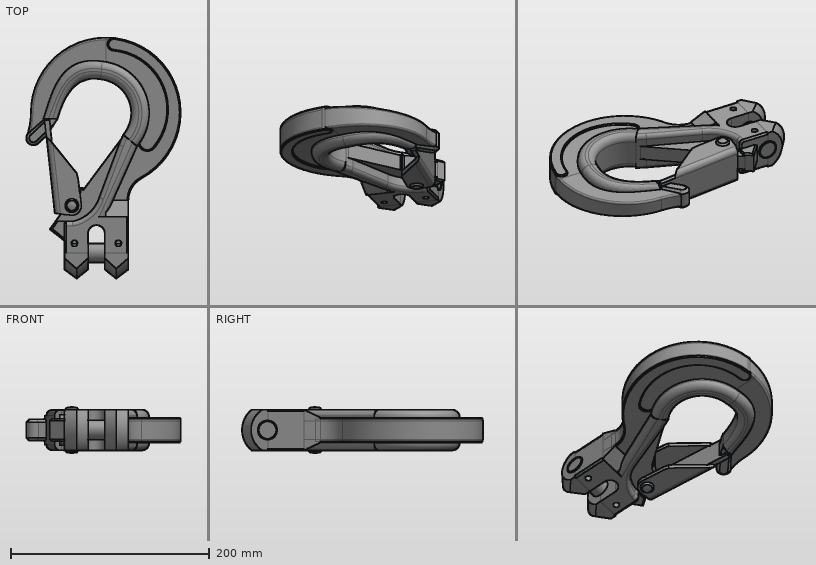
import cadquery as cq
import math


RIM_CENTER = (8.5, 0.5)
RIM_RADIUS = 75.7
PLATE_HALF = 11.2
PLATE_TIP_HALF = 8.0
TAPER_START_X = 8.5
TAPER_END_X = -73
RIM_ROUND = 2.0
PAD_HALF = 12.7
PAD_CHAMFER = 1.2
PAD_EDGE_CENTER = (11.0, 3.7)
PAD_EDGE_RADIUS = 59.5
PAD_START_ANGLE = 85
PAD_TOP_ANGLE = 82
RECESS_END_RADIUS = 7.8
RECESS_END_ANGLE = -40

BOWL_RADIUS = 34.0
BEAD_WIDTH = 18.3
BODY_HALF = 20.7
BEAD_ROUND = 7.5
BEAD_START_ANGLE = -40
BEAD_SEAM_ANGLE = 85

WEB_HALF = 7.8
SHANK_ROUND = 6.0
SHOULDER_ROUND = 4.5
SHANK_FOOT_X = 8.3
TAB_HALF = 11.2
TAB_CHAMFER = 1.7

NOSE_TOP_Y = -5.8
NOSE_HALF = 11.0
NOSE_TIP_CENTER = (-64.5, -25.3)
NOSE_TIP_RADIUS = 7.3
NOSE_ANGLE = 223.6
NOSE_FLANK_LENGTH = 10.7
NOSE_CHAMFER = 3.2

CLEVIS_X = -1.0
CLEVIS_WIDTH = 64.7
CLEVIS_LEFT = CLEVIS_X - CLEVIS_WIDTH / 2
CLEVIS_RIGHT = CLEVIS_X + CLEVIS_WIDTH / 2
SLOT_WIDTH = 16.8
SLOT_END_Y = -121.7
SLOT_CHAMFER = 0.8
EDGE_CHAMFER = 2.0
SHOULDER_Y = -109.5
RAMP_TOP_Y = -88.0
RAMP_BOTTOM_Y = -104.7
PRONG_BASE_Y = -141.2
PRONG_SIDE_FACE_Y = -146.5
PRONG_SIDE_END_Y = -158.0
PRONG_TIP_FACE_Y = -157.2
PRONG_TIP_END_Y = -167.2
PRONG_RIDGE_OFFSET = 20.0

LOAD_PIN_DIAMETER = 19.5
LOAD_PIN_Y = -141.5
LOAD_PIN_CHAMFER = 1.0
LOCK_HOLE_DIAMETER = 6.0
LOCK_HOLE_OFFSET = 22.1
LOCK_HOLE_Y = LOAD_PIN_Y + LOAD_PIN_DIAMETER / 2

LATCH_HALF = 20.5
LATCH_SHEET = 5.0
LATCH_BEND = 5.5
LATCH_TOP = (-53.3, -7.3)
LATCH_BOTTOM = (-43.0, -101.3)
TONGUE_HALF = 14.5
TONGUE_END_Y = -34.0
WALL_START_Y = -24.3
PIVOT = (-25.8, -93.5)
PIVOT_LUG_RADIUS = 9.7
RIVET_DIAMETER = 8.0
RIVET_HEAD_RADIUS = 6.8
RIVET_CROWN_RADIUS = 5.0
RIVET_SHOULDER_Z = 22.6
RIVET_HALF = 23.49

CUT_MARGIN = 2.5


def polar(center, radius, angle):
    """Point on a circle, with the angle in degrees from +X."""
    a = math.radians(angle)
    return (center[0] + radius * math.cos(a), center[1] + radius * math.sin(a))


SIDE_OFFSET = CLEVIS_RIGHT - RIM_CENTER[0]
SIDE_DROP = RAMP_TOP_Y - RIM_CENTER[1]
FLARE_RADIUS = (SIDE_OFFSET**2 + SIDE_DROP**2 - RIM_RADIUS**2) / (2 * (RIM_RADIUS - SIDE_OFFSET))
FLARE_CENTER = (CLEVIS_RIGHT + FLARE_RADIUS, RAMP_TOP_Y)
FLARE_ANGLE = math.degrees(math.atan2(SIDE_DROP, SIDE_OFFSET + FLARE_RADIUS))
FLARE_MIDDLE = polar(FLARE_CENTER, FLARE_RADIUS, 180 + FLARE_ANGLE / 2)


def slab(outline, half):
    """Extrude a closed outline symmetrically about the mid-plane."""
    return outline.extrude(half, both=True)


def edges_near(body, points):
    """Pick the edges whose centres lie nearest to the points, on both sides of the mid-plane."""
    picked = []
    for x, y, z in points:
        for side in (1, -1):
            target = cq.Vector(x, y, side * z)
            picked.append(min(body.edges().vals(), key=lambda e: (e.Center() - target).Length))
    return body.newObject(picked)


def hook_plate():
    """Flat body of the hook, thinning from the load side to the tip."""
    outline = (
        cq.Workplane()
        .moveTo(6.0, RAMP_BOTTOM_Y)
        .lineTo(CLEVIS_RIGHT, RAMP_BOTTOM_Y)
        .lineTo(CLEVIS_RIGHT, RAMP_TOP_Y)
        .threePointArc(FLARE_MIDDLE, polar(RIM_CENTER, RIM_RADIUS, FLARE_ANGLE))
        .threePointArc(polar(RIM_CENTER, RIM_RADIUS, 60), polar(RIM_CENTER, RIM_RADIUS, 180))
        .tangentArcPoint((-71.0, -23.1), relative=False)
        .lineTo(-59.6, -26.8)
        .lineTo(-46.2, NOSE_TOP_Y)
        .threePointArc((7.3, 43.8), (32.9, -34))
        .close()
    )
    right = CLEVIS_RIGHT + RIM_RADIUS
    taper = (
        cq.Workplane("XZ")
        .polyline([
            (right, PLATE_HALF), (TAPER_START_X, PLATE_HALF), (TAPER_END_X, PLATE_TIP_HALF),
            (TAPER_END_X, -PLATE_TIP_HALF), (TAPER_START_X, -PLATE_HALF), (right, -PLATE_HALF),
        ])
        .close()
        .extrude(2 * RIM_RADIUS, both=True)
    )
    plate = slab(outline, PLATE_HALF).intersect(taper)

    def on_outer_rim(edge):
        mid = edge.positionAt(0.5)
        on_circle = abs(math.dist((mid.x, mid.y), RIM_CENTER) - RIM_RADIUS) < 0.2
        on_tip_side = mid.x < -65.7 and mid.y > -19.5
        return (on_circle or on_tip_side) and abs(mid.z) > 2.5

    rim_edges = [edge for edge in plate.edges().vals() if on_outer_rim(edge)]
    return plate.newObject(rim_edges).fillet(RIM_ROUND)


def raised_pad():
    """Load side of the plate, raised around a shallow recess that follows the bead."""
    recess_end_center = polar(PAD_EDGE_CENTER, PAD_EDGE_RADIUS - RECESS_END_RADIUS, RECESS_END_ANGLE)
    recess_end_inner = polar(
        PAD_EDGE_CENTER, PAD_EDGE_RADIUS - 2 * RECESS_END_RADIUS, RECESS_END_ANGLE
    )
    outline = (
        cq.Workplane()
        .moveTo(*recess_end_inner)
        .threePointArc(
            polar(recess_end_center, RECESS_END_RADIUS, RECESS_END_ANGLE - 90),
            polar(PAD_EDGE_CENTER, PAD_EDGE_RADIUS, RECESS_END_ANGLE),
        )
        .threePointArc(
            polar(PAD_EDGE_CENTER, PAD_EDGE_RADIUS, 20),
            polar(PAD_EDGE_CENTER, PAD_EDGE_RADIUS, PAD_START_ANGLE),
        )
        .tangentArcPoint(polar(RIM_CENTER, RIM_RADIUS, PAD_TOP_ANGLE), relative=False)
        .threePointArc(
            polar(RIM_CENTER, RIM_RADIUS, 10), polar(RIM_CENTER, RIM_RADIUS, FLARE_ANGLE)
        )
        .threePointArc(FLARE_MIDDLE, (CLEVIS_RIGHT, RAMP_TOP_Y))
        .lineTo(CLEVIS_RIGHT, RAMP_TOP_Y - 4.9)
        .lineTo(12.2, RAMP_TOP_Y - 4.9)
        .lineTo(34, -34)
        .close()
    )
    return slab(outline, PAD_HALF).faces("|Z").edges().chamfer(PAD_CHAMFER)


def bead_section(inner, outer, half, corner):
    """Rounded rectangle standing on the line from the inner to the outer edge of the bead."""
    across = cq.Vector(outer[0] - inner[0], outer[1] - inner[1], 0)
    middle = ((inner[0] + outer[0]) / 2, (inner[1] + outer[1]) / 2, 0)
    plane = cq.Plane(origin=middle, xDir=across, normal=across.cross(cq.Vector(0, 0, 1)))
    wire = cq.Workplane(plane).rect(across.Length, 2 * half).val()
    return wire.fillet2D(corner, wire.Vertices())


def bead():
    """Thick rounded bead around the bowl, lower towards the nose."""
    to_axis = -BOWL_RADIUS - BEAD_WIDTH / 2
    profile = cq.Sketch().rect(BEAD_WIDTH, 2 * BODY_HALF).vertices().fillet(BEAD_ROUND)
    bowl = (
        cq.Workplane("XZ", origin=(-to_axis, 0, 0))
        .placeSketch(profile)
        .revolve(BEAD_SEAM_ANGLE - BEAD_START_ANGLE, (to_axis, 0), (to_axis, 1))
        .rotate((0, 0, 0), (0, 0, 1), BEAD_START_ANGLE)
    )
    seam_inner = polar((0, 0), BOWL_RADIUS, BEAD_SEAM_ANGLE)
    seam_outer = polar((0, 0), BOWL_RADIUS + BEAD_WIDTH, BEAD_SEAM_ANGLE)
    tail = cq.Solid.makeLoft([
        bead_section(seam_inner, seam_outer, BODY_HALF, BEAD_ROUND),
        bead_section((-25.0, 25.0), (-38.0, 35.0), 16.8, 6.8),
        bead_section((-34.5, 9.7), (-48.7, 12.2), 14.4, 5.5),
        bead_section((-40.2, NOSE_TOP_Y), (-54.5, NOSE_TOP_Y), 13.1, 4.9),
    ])
    return bowl.union(cq.Workplane(tail))


def nose():
    """Round-ended tip beyond the bead, with its outer flank and end bevelled."""
    right_start = polar(NOSE_TIP_CENTER, NOSE_TIP_RADIUS, NOSE_ANGLE + 90)
    left_start = polar(NOSE_TIP_CENTER, NOSE_TIP_RADIUS, NOSE_ANGLE - 90)
    left_length = (NOSE_TOP_Y - left_start[1]) / math.sin(math.radians(NOSE_ANGLE + 180))
    outline = (
        cq.Workplane()
        .moveTo(-40.2, NOSE_TOP_Y)
        .lineTo(-47.5, -17.0)
        .lineTo(*polar(right_start, NOSE_FLANK_LENGTH, NOSE_ANGLE + 180))
        .lineTo(*right_start)
        .threePointArc(polar(NOSE_TIP_CENTER, NOSE_TIP_RADIUS, NOSE_ANGLE), left_start)
        .lineTo(*polar(left_start, left_length, NOSE_ANGLE + 180))
        .close()
    )
    body = slab(outline, NOSE_HALF)
    return edges_near(body, [(*left_start, NOSE_HALF)]).chamfer(NOSE_CHAMFER)


def shank():
    """Straight bead from the bowl to the clevis, ending in the shoulder beside the latch."""
    body = slab(
        cq.Workplane()
        .moveTo(*polar((0, 0), BOWL_RADIUS, BEAD_START_ANGLE))
        .lineTo(22.0, -31.6)
        .lineTo(2.0, -85.2)
        .threePointArc((-8.3, -101.0), (-25.5, SHOULDER_Y))
        .lineTo(CLEVIS_LEFT, SHOULDER_Y)
        .lineTo(CLEVIS_LEFT, PRONG_BASE_Y)
        .lineTo(CLEVIS_RIGHT, PRONG_BASE_Y)
        .lineTo(CLEVIS_RIGHT, RAMP_BOTTOM_Y)
        .lineTo(SHANK_FOOT_X, RAMP_BOTTOM_Y)
        .lineTo(*polar((0, 0), BOWL_RADIUS + BEAD_WIDTH, BEAD_START_ANGLE))
        .close(),
        BODY_HALF,
    )
    body = edges_near(body, [(24.0, -69.1, BODY_HALF)]).fillet(SHANK_ROUND)
    wall = [(24.0, -26.8, BODY_HALF), (12.0, -58.5, BODY_HALF), (-9.5, -99.8, BODY_HALF), (-29.2, -109.5, BODY_HALF)]
    body = edges_near(body, wall).fillet(SHOULDER_ROUND)
    sides = [(CLEVIS_RIGHT, -123.0, BODY_HALF), (CLEVIS_LEFT, -125.3, BODY_HALF)]
    return edges_near(body, sides).chamfer(EDGE_CHAMFER)


def ramp():
    """Slope from the raised pad up to the clevis face, on both sides."""
    return (
        cq.Workplane("YZ", origin=(SHANK_FOOT_X, 0, 0))
        .polyline([
            (RAMP_TOP_Y, PAD_HALF), (RAMP_BOTTOM_Y, BODY_HALF),
            (RAMP_BOTTOM_Y, -BODY_HALF), (RAMP_TOP_Y, -PAD_HALF),
        ])
        .close()
        .extrude(CLEVIS_RIGHT - SHANK_FOOT_X)
    )


def prong_section(x, face_y, end_y):
    """Prong cross-section with an arched end."""
    return (
        cq.Workplane("YZ", origin=(x, 0, 0))
        .moveTo(PRONG_BASE_Y, -BODY_HALF)
        .lineTo(face_y, -BODY_HALF)
        .threePointArc((end_y, 0), (face_y, BODY_HALF))
        .lineTo(PRONG_BASE_Y, BODY_HALF)
        .close()
        .val()
    )


def prong(side):
    """Prong end with a ridge, sloping back to both side faces."""
    ridge_x = CLEVIS_X + side * PRONG_RIDGE_OFFSET
    ridge = prong_section(ridge_x, PRONG_TIP_FACE_Y, PRONG_TIP_END_Y)
    halves = []
    for flank_offset in (SLOT_WIDTH / 2, CLEVIS_WIDTH / 2):
        flank = prong_section(CLEVIS_X + side * flank_offset, PRONG_SIDE_FACE_Y, PRONG_SIDE_END_Y)
        halves.append(cq.Workplane(cq.Solid.makeLoft([ridge, flank], True)))
    return halves[0].union(halves[1])


def shackle_slot():
    """Round-ended opening between the prongs."""
    depth = PRONG_TIP_END_Y - CUT_MARGIN - SLOT_END_Y
    return (
        cq.Workplane(origin=(CLEVIS_X, SLOT_END_Y, 0))
        .moveTo(-SLOT_WIDTH / 2, 0)
        .threePointArc((0, SLOT_WIDTH / 2), (SLOT_WIDTH / 2, 0))
        .lineTo(SLOT_WIDTH / 2, depth)
        .lineTo(-SLOT_WIDTH / 2, depth)
        .close()
        .extrude(BODY_HALF + CUT_MARGIN, both=True)
    )


def web():
    """Thin plate between the shank and the latch."""
    return slab(
        cq.Workplane()
        .polyline([
            (25.5, -24.3), (-14.4, -78.0), (-14.5, -75.5), (-16.5, -75.5), (-17.0, -80.3), (-29.2, -85.2),
            (-37.2, -102.2), (-42.3, SHOULDER_Y), (-31.6, -114.5), (0, -107.0), (7.3, -85.2), (29.2, -31.6),
        ])
        .close(),
        WEB_HALF,
    )


def stop_tab():
    """Wedge-shaped tab beside the clevis, below the latch."""
    outline = (
        cq.Workplane()
        .polyline([
            (-42.3, SHOULDER_Y), (-48.0, -117.3), (CLEVIS_LEFT, -129.0),
            (-31.6, -129.0), (-31.6, SHOULDER_Y),
        ])
        .close()
    )
    tab = slab(outline, TAB_HALF)
    return edges_near(tab, [(-45.0, -113.5, TAB_HALF), (-40.6, -123.2, TAB_HALF)]).chamfer(TAB_CHAMFER)


def latch_back_x(y):
    """X of the outer latch back at height y."""
    along = (y - LATCH_TOP[1]) / (LATCH_BOTTOM[1] - LATCH_TOP[1])
    return LATCH_TOP[0] + along * (LATCH_BOTTOM[0] - LATCH_TOP[0])


def tongue():
    """Strip that continues the latch back into the hook nose."""
    outline = (
        cq.Workplane()
        .moveTo(*LATCH_TOP)
        .lineTo(LATCH_TOP[0] + LATCH_SHEET, LATCH_TOP[1])
        .lineTo(latch_back_x(TONGUE_END_Y) + LATCH_SHEET, TONGUE_END_Y)
        .lineTo(latch_back_x(TONGUE_END_Y), TONGUE_END_Y)
        .close()
    )
    return slab(outline, TONGUE_HALF)


def pivot_bore():
    return (
        cq.Workplane(origin=(*PIVOT, 0))
        .circle(RIVET_DIAMETER / 2)
        .extrude(BODY_HALF + CUT_MARGIN, both=True)
    )


def load_pin_bore():
    return (
        cq.Workplane("YZ", origin=(CLEVIS_LEFT, LOAD_PIN_Y, 0))
        .circle(LOAD_PIN_DIAMETER / 2)
        .extrude(CLEVIS_WIDTH)
    )


def lock_holes():
    """Cross holes that graze the top of the load pin, one in each prong."""
    return (
        cq.Workplane(origin=(CLEVIS_X, LOCK_HOLE_Y, 0))
        .pushPoints([(-LOCK_HOLE_OFFSET, 0), (LOCK_HOLE_OFFSET, 0)])
        .circle(LOCK_HOLE_DIAMETER / 2)
        .extrude(BODY_HALF + CUT_MARGIN, both=True)
    )


def make_hook():
    body = shank()
    for part in (ramp(), prong(-1), prong(1), web(), stop_tab()):
        body = body.union(part, clean=False)
    slot_rim_free = body.cut(shackle_slot(), clean=False)
    for opening in (pivot_bore(), load_pin_bore(), lock_holes()):
        slot_rim_free = slot_rim_free.cut(opening, clean=False)
    body = slot_rim_free
    for part in (bead(), nose().cut(tongue()), hook_plate().cut(tongue()), raised_pad()):
        body = body.union(part, clean=False)
    return body


def make_latch():
    """Bent sheet channel with a tongue at its free end."""
    lug_bottom = (PIVOT[0], PIVOT[1] - PIVOT_LUG_RADIUS)
    lug_side = (PIVOT[0] + PIVOT_LUG_RADIUS, PIVOT[1])
    channel = slab(
        cq.Workplane()
        .moveTo(latch_back_x(WALL_START_Y), WALL_START_Y)
        .lineTo(-46.2, -29.2)
        .lineTo(-20.7, -60.8)
        .lineTo(-19.2, -67.0)
        .lineTo(*lug_side)
        .threePointArc(polar(PIVOT, PIVOT_LUG_RADIUS, -45), lug_bottom)
        .lineTo(-36.5, -102.2)
        .lineTo(*LATCH_BOTTOM)
        .close(),
        LATCH_HALF,
    )
    back_middle_y = (WALL_START_Y + LATCH_BOTTOM[1]) / 2
    back_edge = (latch_back_x(back_middle_y), back_middle_y, LATCH_HALF)
    channel = edges_near(channel, [back_edge]).fillet(LATCH_BEND)
    below = LATCH_BOTTOM[1] - 4.9
    inside = slab(
        cq.Workplane()
        .moveTo(LATCH_TOP[0] + LATCH_SHEET, LATCH_TOP[1])
        .lineTo(latch_back_x(below) + LATCH_SHEET, below)
        .lineTo(lug_side[0] + CUT_MARGIN, below)
        .lineTo(lug_side[0] + CUT_MARGIN, LATCH_TOP[1])
        .close(),
        LATCH_HALF - LATCH_SHEET,
    )
    return channel.union(tongue()).cut(inside).cut(pivot_bore())


def make_rivet():
    """Shaft with a low domed head at each end."""
    half_profile = (
        cq.Workplane("XZ", origin=(*PIVOT, 0))
        .lineTo(RIVET_DIAMETER / 2, 0)
        .lineTo(RIVET_DIAMETER / 2, LATCH_HALF)
        .lineTo(RIVET_HEAD_RADIUS, LATCH_HALF)
        .lineTo(RIVET_CROWN_RADIUS, RIVET_SHOULDER_Z)
        .lineTo(0, RIVET_HALF)
        .close()
    )
    half = half_profile.revolve(360, (0, 0), (0, 1))
    return half.union(half.mirror("XY"))


def make_load_pin():
    return load_pin_bore().faces("|X").edges().chamfer(LOAD_PIN_CHAMFER)


hook = make_hook()
latch = make_latch()
rivet = make_rivet()
load_pin = make_load_pin()

result = cq.Compound.makeCompound([hook.val(), latch.val(), rivet.val(), load_pin.val()])